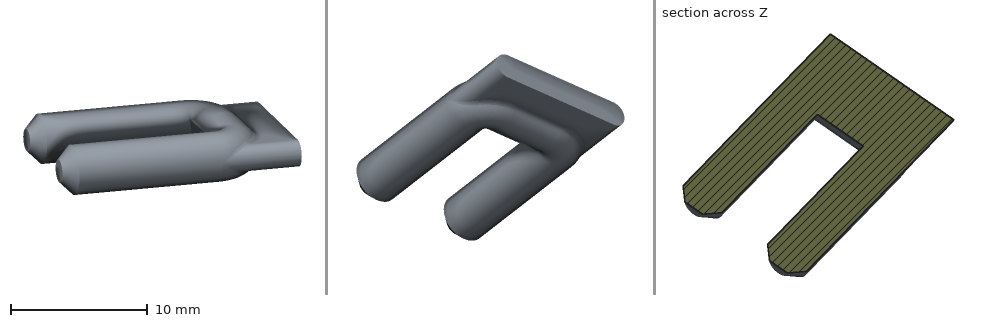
import cadquery as cq
import math

bar_diameter = 3.7
bar_radius = bar_diameter / 2
leg_spacing = 8.0
leg_straight_length = 11.0
tip_chamfer = 1.0

bend_radius = bar_radius
bend_center_x = leg_spacing / 2 - bend_radius
bend_angle = 90

plate_width = leg_spacing + bar_diameter
plate_length = 6.0
plate_thickness = 2.0
blend_radius = 0.5


def make_leg(x):
    """Straight leg from the bend line (y = 0) toward -Y, chamfered at its tip."""
    return (
        cq.Workplane("XZ")
        .center(x, 0)
        .circle(bar_radius)
        .extrude(leg_straight_length + tip_chamfer)
        .faces("<Y")
        .chamfer(tip_chamfer)
    )


def make_right_bend():
    """Quarter-turn bend joining the +X leg to the bridge."""
    return (
        cq.Workplane("XZ")
        .center(leg_spacing / 2, 0)
        .circle(bar_radius)
        .revolve(bend_angle, (-bend_radius, 0, 0), (-bend_radius, 1, 0))
    )


def make_bridge():
    """Straight bar along X between the two bends."""
    return (
        cq.Workplane("YZ")
        .center(bend_radius, 0)
        .circle(bar_radius)
        .extrude(bend_center_x, both=True)
    )


def make_plate():
    """Plate from the bend line toward +Y, with fully rounded sides."""
    return (
        cq.Workplane("XZ")
        .slot2D(plate_width, plate_thickness)
        .extrude(-plate_length)
    )


def blend_plate_to_bar(part):
    """Fillet the corner where the plate meets the outer side of the bridge and bends.

    Picking the straight edge behind the bridge is enough: the fillet runs on
    along the tangent edges around both bends.
    """
    half_thickness = plate_thickness / 2
    corner_y = bend_radius + math.sqrt(bar_radius**2 - half_thickness**2)
    upper_edge = cq.NearestToPointSelector((0, corner_y, half_thickness))
    lower_edge = cq.NearestToPointSelector((0, corner_y, -half_thickness))
    return part.edges(upper_edge + lower_edge).fillet(blend_radius)


right_bend = make_right_bend()
left_bend = right_bend.mirror("YZ")

head = make_bridge().union(right_bend).union(left_bend).union(make_plate())
result = blend_plate_to_bar(head)
for leg_x in (-leg_spacing / 2, leg_spacing / 2):
    result = result.union(make_leg(leg_x))